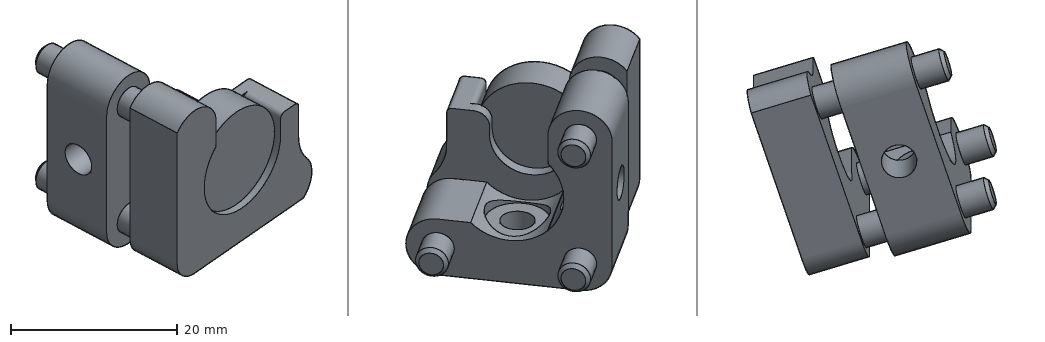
import cadquery as cq
import math

overall_length = 24.14
clamp_size = 25.4
centre = clamp_size / 2
leg_width = 7.9
leg_radius = leg_width / 2
near_pin = leg_radius
far_pin = clamp_size - leg_radius

pin_diameter = 4.04
pin_chamfer = 0.5

clamp_start = 4.0
clamp_thickness = 9.525
clamp_bore_radius = 6.73
screw_x = 9.0
screw_hole_diameter = 4.25
screw_head_diameter = 8.0
screw_seat_level = 5.78

holder_thickness = 7.57
holder_start = overall_length - holder_thickness
holder_trim = 0.79
lip_thickness = 1.588
lip_bore_radius = 5.0
lip_round = 1.984
pocket_radius = 6.985
pocket_round = 0.7
arm_outer = 22.98
arm_top = 15.875
arm_outer_round = 0.7
arm_root_radius = 6.35

disc_thickness = 5.0


def at_x(x):
    """YZ sketch plane at position x, facing +X."""
    return cq.Workplane("YZ", origin=(x, 0, 0))


def cylinder(x, y, z, radius, length):
    return at_x(x).center(y, z).circle(radius).extrude(length)


def l_plate(x, thickness, trim):
    """L-shaped plate with round leg ends; trim moves its two outer faces inward."""
    corner_radius = leg_radius - trim
    corner_mid = near_pin - corner_radius * math.sqrt(0.5)
    end = far_pin + math.sqrt(leg_radius**2 - corner_radius**2)
    return (
        at_x(x)
        .moveTo(near_pin, trim)
        .lineTo(end, trim)
        .threePointArc((clamp_size, near_pin), (far_pin, leg_width))
        .lineTo(leg_width, leg_width)
        .lineTo(leg_width, far_pin)
        .threePointArc((near_pin, clamp_size), (trim, end))
        .lineTo(trim, near_pin)
        .threePointArc((corner_mid, corner_mid), (near_pin, trim))
        .close()
        .extrude(thickness)
    )


def screw_cut():
    """Screw hole along Z with a flat seat opened into the bore."""
    hole = cq.Workplane("XY").center(screw_x, centre).circle(screw_hole_diameter / 2).extrude(centre)
    head = (
        cq.Workplane("XY", origin=(screw_x, centre, screw_seat_level))
        .circle(screw_head_diameter / 2)
        .extrude(centre - screw_seat_level)
    )
    return hole.union(head)


def clamp_block():
    block = l_plate(clamp_start, clamp_thickness, 0)
    block = block.cut(cylinder(clamp_start, centre, centre, clamp_bore_radius, clamp_thickness))
    vertical_cut = screw_cut()
    horizontal_cut = vertical_cut.mirror("XY").rotate((0, 0, 0), (1, 0, 0), 90)
    return block.cut(vertical_cut).cut(horizontal_cut)


def arm(x, thickness, bore_radius, inner_round):
    """Arm rising from the lower leg, with a concave root tangent to the round leg end."""
    wall = centre + bore_radius
    root_y = arm_outer + arm_root_radius
    reach = arm_root_radius + leg_radius
    root_z = near_pin + math.sqrt(reach**2 - (root_y - far_pin)**2)
    fraction = leg_radius / reach
    foot = (far_pin + fraction * (root_y - far_pin), near_pin + fraction * (root_z - near_pin))
    half_angle = math.atan2(root_z - foot[1], root_y - foot[0]) / 2
    root_mid = (
        root_y - arm_root_radius * math.cos(half_angle),
        root_z - arm_root_radius * math.sin(half_angle),
    )
    return (
        at_x(x)
        .moveTo(near_pin, near_pin)
        .lineTo(far_pin, near_pin)
        .lineTo(*foot)
        .threePointArc(root_mid, (arm_outer, root_z))
        .lineTo(arm_outer, arm_top - arm_outer_round)
        .radiusArc((arm_outer - arm_outer_round, arm_top), -arm_outer_round)
        .lineTo(wall + inner_round, arm_top)
        .radiusArc((wall, arm_top - inner_round), -inner_round)
        .lineTo(wall, centre)
        .lineTo(near_pin, centre)
        .close()
        .extrude(thickness)
    )


def holder_section(x, thickness, bore_radius, inner_round):
    section = l_plate(x, thickness, holder_trim)
    section = section.union(arm(x, thickness, bore_radius, inner_round))
    return section.cut(cylinder(x, centre, centre, bore_radius, thickness))


def holder_block():
    pocket_start = holder_start + lip_thickness
    lip = holder_section(holder_start, lip_thickness, lip_bore_radius, lip_round)
    pocket = holder_section(pocket_start, holder_thickness - lip_thickness, pocket_radius, pocket_round)
    disc = cylinder(pocket_start, centre, centre, pocket_radius, disc_thickness)
    return lip.union(pocket).union(disc)


def pin(y, z):
    """Pin with a chamfered free tip, ending flush with the back of the holder."""
    return cylinder(0, y, z, pin_diameter / 2, overall_length).faces("<X").chamfer(pin_chamfer)


pin_places = [(near_pin, near_pin), (far_pin, near_pin), (near_pin, far_pin)]

result = clamp_block().union(holder_block())
for pin_y, pin_z in pin_places:
    result = result.union(pin(pin_y, pin_z))